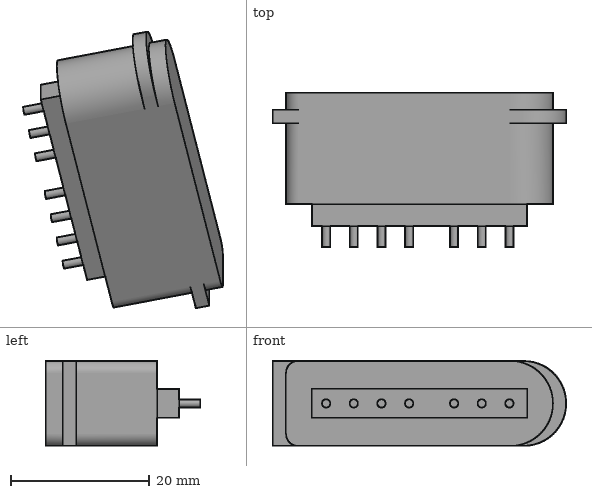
import cadquery as cq

height = 12.3
end_radius = height / 2

shell_length = 38.6
shell_depth = 16.1
corner_radius = 1.75

flange_length = 42.44
flange_thickness = 2.0
flange_setback = 2.45

block_length = 31.1
block_depth = 3.2
block_height = 4.2

pin_diameter = 1.2
pin_length = 3.05
pin_pitch = 4.0
pin_group_gap = 6.5
first_group_count = 4
second_group_count = 3
first_pin_margin = 2.05

shell_back_y = shell_depth
flange_front_y = shell_back_y - flange_setback - flange_thickness
block_front_y = -block_depth
pin_tip_y = block_front_y - pin_length

first_group_start = -block_length / 2 + first_pin_margin
first_group_end = first_group_start + (first_group_count - 1) * pin_pitch
second_group_start = first_group_end + pin_group_gap
pin_positions = [first_group_start + i * pin_pitch for i in range(first_group_count)]
pin_positions += [second_group_start + i * pin_pitch for i in range(second_group_count)]


def plane_facing_back(y):
    """XZ plane at the given Y whose extrusions run toward +Y (local y is -Z)."""
    return cq.Workplane(cq.Plane(origin=(0, y, 0), xDir=(1, 0, 0), normal=(0, 1, 0)))


def round_ended_plate(length, front_y, thickness):
    """Plate centred on X with a square -X end and a half-round +X end."""
    square_end_x = -length / 2
    round_tip_x = length / 2
    arc_start_x = round_tip_x - end_radius
    return (
        plane_facing_back(front_y)
        .moveTo(square_end_x, -end_radius)
        .lineTo(arc_start_x, -end_radius)
        .threePointArc((round_tip_x, 0), (arc_start_x, end_radius))
        .lineTo(square_end_x, end_radius)
        .close()
        .extrude(thickness)
    )


def make_housing():
    """Shell, flange and terminal block as one solid."""
    shell = round_ended_plate(shell_length, 0, shell_depth)
    shell = shell.faces("<X").edges("|Y").fillet(corner_radius)
    flange = round_ended_plate(flange_length, flange_front_y, flange_thickness)
    block = plane_facing_back(block_front_y).rect(block_length, block_height).extrude(block_depth)
    return shell.union(flange).union(block)


def make_pin(x):
    """Contact pin standing on the -Y face of the terminal block."""
    return plane_facing_back(pin_tip_y).center(x, 0).circle(pin_diameter / 2).extrude(pin_length)


housing = make_housing()
pins = [make_pin(x) for x in pin_positions]

result = cq.Compound.makeCompound([housing.val(), *[pin.val() for pin in pins]])